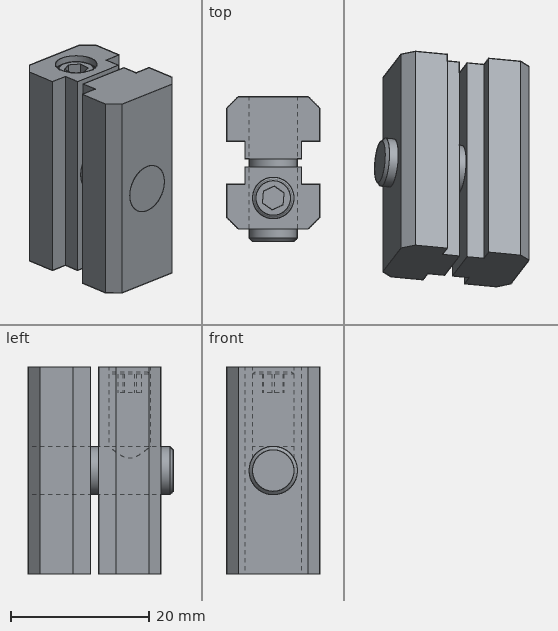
import cadquery as cq
import math

block_width = 13.5
block_height = 30.0
block_depth = 9.025
neck_width = 8.25
flange_depth = 6.5
corner_chamfer = 1.7
block_gap = 1.15

pin_diameter = 7.0
pin_protrusion = 1.8
pin_chamfer = 0.5
pin_length = 2 * block_depth + block_gap + pin_protrusion

screw_diameter = 6.0
screw_face_diameter = 5.0
screw_break_diameter = 5.45
screw_inner_slope = 30.0
screw_outer_slope = 35.0
screw_recess = 0.7
hex_across_corners = 3.46
hex_depth = 3.0
hex_turn = 25.0

block_outer_y = block_gap / 2 + block_depth
screw_y = -(block_gap + block_depth) / 2
pin_front_y = -(block_outer_y + pin_protrusion)


def make_block(side):
    """T-shaped block on the +Y (side = 1) or -Y (side = -1) half, neck facing the gap."""
    inner_y = block_gap / 2
    shoulder_y = block_outer_y - flange_depth
    half_neck = neck_width / 2
    half_width = block_width / 2
    right_half = [
        (half_neck, inner_y),
        (half_neck, shoulder_y),
        (half_width, shoulder_y),
        (half_width, block_outer_y - corner_chamfer),
        (half_width - corner_chamfer, block_outer_y),
    ]
    left_half = [(-x, y) for x, y in reversed(right_half)]
    outline = [(x, side * y) for x, y in right_half + left_half]
    return (
        cq.Workplane("XY")
        .workplane(offset=-block_height / 2)
        .polyline(outline)
        .close()
        .extrude(block_height)
    )


def pin_cylinder():
    """Plain pin running from its proud front end to the back face of the rear block."""
    return (
        cq.Workplane("XZ", origin=(0, pin_front_y, 0))
        .circle(pin_diameter / 2)
        .extrude(-pin_length)
    )


def make_pin():
    """Pin with its proud front end chamfered."""
    return pin_cylinder().faces("<Y").chamfer(pin_chamfer)


def cone_drop(inner_diameter, outer_diameter, slope):
    """Height lost across a conical band that falls outward at the given slope in degrees."""
    return (outer_diameter - inner_diameter) / 2 * math.tan(math.radians(slope))


def make_screw():
    """Headless set screw with a two-step conical top rim and a hexagon socket."""
    top_z = block_height / 2 - screw_recess
    break_z = top_z - cone_drop(screw_face_diameter, screw_break_diameter, screw_inner_slope)
    rim_z = break_z - cone_drop(screw_break_diameter, screw_diameter, screw_outer_slope)
    tip_z = pin_diameter / 2
    half_section = [
        (0, tip_z),
        (screw_diameter / 2, tip_z),
        (screw_diameter / 2, rim_z),
        (screw_break_diameter / 2, break_z),
        (screw_face_diameter / 2, top_z),
        (0, top_z),
    ]
    body = (
        cq.Workplane("XZ", origin=(0, screw_y, 0))
        .polyline(half_section)
        .close()
        .revolve(360, (0, 0), (0, 1))
    )
    socket = (
        cq.Workplane("XY", origin=(0, screw_y, top_z))
        .transformed(rotate=(0, 0, hex_turn))
        .polygon(6, hex_across_corners)
        .extrude(-hex_depth)
    )
    return body.cut(socket)


def screw_hole():
    """Hole from the top face down into the pin bore."""
    return (
        cq.Workplane("XY", origin=(0, screw_y, 0))
        .circle(screw_diameter / 2)
        .extrude(block_height / 2)
    )


rear_block = make_block(1).cut(pin_cylinder())
front_block = make_block(-1).cut(pin_cylinder()).cut(screw_hole())
pin = make_pin()
screw = make_screw()

result = cq.Compound.makeCompound([rear_block.val(), front_block.val(), pin.val(), screw.val()])